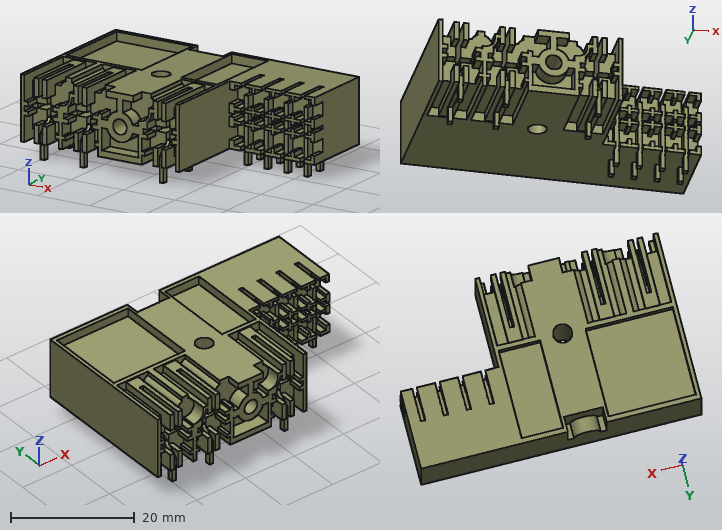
import cadquery as cq

LENGTH = 46.7
DEPTH = 28.3
HEIGHT = 11.4
PIN_DROP = 2.6
MID_Z = HEIGHT / 2

POWER_LENGTH = 30.4
SIGNAL_FRONT = 14.95
WALL = 0.7

POWER_PITCH = 7.6
FIRST_COLUMN = 3.8
COLUMNS = [FIRST_COLUMN + POWER_PITCH * step for step in (0, 1, 3)]
BOSS_X = FIRST_COLUMN + POWER_PITCH * 2
CHAMBER_DEPTH = 2.5
CHANNEL_END = 11.63
CORE_HALF_HEIGHT = 4.1
CORE_TOP = MID_Z + CORE_HALF_HEIGHT
CORE_BOTTOM = MID_Z - CORE_HALF_HEIGHT

RIB_WIDTH = 2.45
RIB_INNER = 2.4
RIB_OUTER = 5.5
BLADE_WIDTH = 0.75
POWER_SLOT_END = 9.15

GROOVE_RADIUS = 1.75
GROOVE_LIP = 0.5
GROOVE_Z = 9.05
RIDGE_HALF_WIDTH = 0.6
GROOVE_XS = [FIRST_COLUMN + POWER_PITCH * (step + 0.5) for step in range(3)]

LEDGE_HALF_GAP = 2.35
LEDGE_HALF_HEIGHT = 1.2
CROSS_HALF_HEIGHT = 0.4
CROSS_HALF_LENGTH = 2.2
LEDGE_GROOVE_HALF = 3.17
KEY_WIDTH = 0.6
KEY_HEIGHT = 0.7

PIN_WIDTH = 1.05
BLADE_FRONT = 0.55
BLADE_BEVEL_BOTTOM = 1.77
BLADE_SHELF_FRONT = 2.8
BLADE_SHELF_BACK = 6.72

BOSS_RADIUS = 2.55
BOSS_HOLE_RADIUS = 1.3
BOSS_HOLE_DEPTH = 5.6
REAR_BOSS_RADIUS = 2.25
REAR_NOTCH_WIDTH = 6.5
REAR_NOTCH_DEPTH = 2.55
CENTER_HALF = 3.5
CENTER_FLOOR = 1.1
CENTER_ARM_HALF = 0.75
CAP_WIDTH = 5.15
CAP_THICKNESS = 1.07
WEB_WIDTH = 1.1
MOUNT_HOLE_Y = 12.3
MOUNT_HOLE_RADIUS = 1.55

POCKET_FRONT = 12.45
POCKET_BACK = 27.45
POCKET_DEPTH = 1.6
LEFT_POCKET_END = 15.2
RIGHT_POCKET_START = 22.8

SIGNAL_PITCH = POWER_PITCH / 2
FIRST_SIGNAL = 32.95
SIGNAL_XS = [FIRST_SIGNAL + SIGNAL_PITCH * step for step in range(4)]
CELL_DEPTH = 2.5
TOP_PLATE_SETBACK = 0.15
CELL_ROWS = [
    (0.7, 4.35, 0.85, 0.55),
    (4.9, 6.6, 0.55, 0.55),
    (7.15, 10.85, 0.55, 0.85),
]
STUB_WIDTH = 0.6
FIRST_STUB_END = 31.35
LAST_STUB_START = 45.95
CONTACT_FRONT = 16.0
CONTACT_BACK = 20.7
CONTACT_TOP = 9.15
CONTACT_WIDTH = 0.75


def box(x0, x1, y0, y1, z0, z1):
    """Box between two opposite corners."""
    return cq.Workplane("XY").box(x1 - x0, y1 - y0, z1 - z0, centered=False).translate((x0, y0, z0))


def rod(x, z, radius, y0, y1):
    """Cylinder along Y."""
    return cq.Workplane("XZ", origin=(x, y0, z)).circle(radius).extrude(y0 - y1)


def front_box(x0, x1, z0, z1):
    """Box that fills the depth of the open front chamber."""
    return box(x0, x1, 0, CHAMBER_DEPTH, z0, z1)


INNER_WALL_X = GROOVE_XS[0]
CHANNELS = [
    (WALL, INNER_WALL_X - WALL / 2),
    (INNER_WALL_X + WALL / 2, BOSS_X - CENTER_HALF - WALL),
    (BOSS_X + CENTER_HALF + WALL, POWER_LENGTH - WALL),
]


def housing():
    """Solid blank: the deep power section beside the shallower signal section."""
    power = box(0, POWER_LENGTH, 0, DEPTH, 0, HEIGHT)
    signal = box(POWER_LENGTH, LENGTH, SIGNAL_FRONT, DEPTH, 0, HEIGHT)
    return power.union(signal)


def channels():
    """Recesses above and below the core, behind the open chamber."""
    upper_ends = [
        (WALL, GROOVE_XS[0] - RIDGE_HALF_WIDTH),
        (GROOVE_XS[0] + RIDGE_HALF_WIDTH, GROOVE_XS[1] - RIDGE_HALF_WIDTH),
        (GROOVE_XS[2] + RIDGE_HALF_WIDTH, POWER_LENGTH - WALL),
    ]
    cut = cq.Workplane("XY")
    for x0, x1 in upper_ends:
        cut = cut.union(box(x0, x1, CHAMBER_DEPTH, CHANNEL_END, CORE_TOP, HEIGHT))
    for x in GROOVE_XS:
        cut = cut.cut(rod(x, GROOVE_Z, GROOVE_RADIUS, CHAMBER_DEPTH, CHANNEL_END))
    for x0, x1 in CHANNELS:
        cut = cut.union(box(x0, x1, CHAMBER_DEPTH, CHANNEL_END, 0, CORE_BOTTOM))
    return cut


def groove_shell(x, left, column_x):
    """Wall with a concave groove in its top, bridged at the top to the rib of the next column."""
    shell_bottom = GROOVE_Z - GROOVE_RADIUS
    rib_left = column_x - RIB_WIDTH / 2
    block = front_box(left, column_x - LEDGE_HALF_GAP, MID_Z, GROOVE_Z)
    lip = rod(x, GROOVE_Z, GROOVE_RADIUS + GROOVE_LIP, 0, CHAMBER_DEPTH)
    lip = lip.intersect(front_box(x, rib_left, shell_bottom, GROOVE_Z))
    bridge = front_box(x + GROOVE_RADIUS, rib_left, GROOVE_Z, CORE_TOP)
    bore = rod(x, GROOVE_Z, GROOVE_RADIUS, 0, CHAMBER_DEPTH)
    return block.union(lip).union(bridge).cut(bore)


def dividers():
    """Front ends of the walls between the columns, with ledges and keys."""
    ledge_bottom = MID_Z - LEDGE_HALF_HEIGHT
    ledge_top = MID_Z + LEDGE_HALF_HEIGHT
    solid = cq.Workplane("XY")
    for column_x, (x0, x1) in zip(COLUMNS, CHANNELS):
        left_ledge = front_box(x0 - WALL, column_x - LEDGE_HALF_GAP, ledge_bottom, ledge_top)
        right_ledge = front_box(column_x + LEDGE_HALF_GAP, x1 + WALL, ledge_bottom, ledge_top)
        solid = solid.union(left_ledge).union(right_ledge)
    inner_left = CHANNELS[0][1]
    inner_right = CHANNELS[1][0]
    solid = solid.union(front_box(inner_left, inner_right, 0, MID_Z))
    for edge, side in ((inner_left, -1), (inner_right, 1), (CHANNELS[1][1], -1), (CHANNELS[2][0], 1)):
        x0, x1 = sorted((edge, edge + side * KEY_WIDTH))
        solid = solid.union(front_box(x0, x1, CORE_BOTTOM, CORE_BOTTOM + KEY_HEIGHT))
    solid = solid.union(groove_shell(GROOVE_XS[0], inner_left, COLUMNS[1]))
    solid = solid.union(groove_shell(GROOVE_XS[2], GROOVE_XS[2], COLUMNS[2]))
    for column_x in COLUMNS:
        groove = front_box(
            column_x - LEDGE_GROOVE_HALF,
            column_x + LEDGE_GROOVE_HALF,
            MID_Z - CROSS_HALF_HEIGHT,
            MID_Z + CROSS_HALF_HEIGHT,
        )
        solid = solid.cut(groove)
    return solid


def center_front():
    """Boss with its T-shaped support above and box-shaped support below."""
    wall_in = CENTER_HALF
    wall_out = CENTER_HALF + WALL
    seat_z = GROOVE_Z - GROOVE_RADIUS
    solid = front_box(BOSS_X - wall_out, BOSS_X + wall_out, 0, CENTER_FLOOR)
    for x0, x1 in ((-wall_out, -wall_in), (wall_in, wall_out)):
        solid = solid.union(front_box(BOSS_X + x0, BOSS_X + x1, 0, seat_z))
    left_seat = front_box(BOSS_X - wall_out, GROOVE_XS[1], seat_z, GROOVE_Z)
    left_seat = left_seat.cut(rod(GROOVE_XS[1], GROOVE_Z, GROOVE_RADIUS, 0, CHAMBER_DEPTH))
    solid = solid.union(left_seat)
    arm_bottom = MID_Z - CENTER_ARM_HALF
    arm_top = MID_Z + CENTER_ARM_HALF
    solid = solid.union(front_box(BOSS_X - wall_out, BOSS_X + wall_out, arm_bottom, arm_top))
    solid = solid.union(rod(BOSS_X, MID_Z, BOSS_RADIUS, 0, CHAMBER_DEPTH))
    solid = solid.union(front_box(BOSS_X - WEB_WIDTH / 2, BOSS_X + WEB_WIDTH / 2, MID_Z, HEIGHT))
    cap_bottom = HEIGHT - CAP_THICKNESS
    return solid.union(front_box(BOSS_X - CAP_WIDTH / 2, BOSS_X + CAP_WIDTH / 2, cap_bottom, HEIGHT))


def guide_ribs():
    """Pairs of ribs that run the full length of each power channel."""
    solid = cq.Workplane("XY")
    for x in COLUMNS:
        x0 = x - RIB_WIDTH / 2
        x1 = x + RIB_WIDTH / 2
        solid = solid.union(box(x0, x1, 0, CHANNEL_END, MID_Z + RIB_INNER, MID_Z + RIB_OUTER))
        solid = solid.union(box(x0, x1, 0, CHANNEL_END, MID_Z - RIB_OUTER, MID_Z - RIB_INNER))
    return solid


def terminal_slot(x):
    """Vertical slot and cross slot that cross in front of one power terminal."""
    slot = box(x - BLADE_WIDTH / 2, x + BLADE_WIDTH / 2, 0, POWER_SLOT_END, 0, HEIGHT)
    cross = box(
        x - CROSS_HALF_LENGTH,
        x + CROSS_HALF_LENGTH,
        0,
        POWER_SLOT_END,
        MID_Z - CROSS_HALF_HEIGHT,
        MID_Z + CROSS_HALF_HEIGHT,
    )
    return slot.union(cross)


def power_terminal(x):
    """Bevelled blade, stepped up into the rear of the cross slot, with a pin at each end."""
    bevel_top = BLADE_BEVEL_BOTTOM + BLADE_SHELF_FRONT - BLADE_FRONT
    blade_top = MID_Z + CROSS_HALF_HEIGHT
    return (
        cq.Workplane("YZ", origin=(x - BLADE_WIDTH / 2, 0, 0))
        .moveTo(BLADE_FRONT, -PIN_DROP)
        .lineTo(BLADE_FRONT, BLADE_BEVEL_BOTTOM)
        .lineTo(BLADE_SHELF_FRONT, bevel_top)
        .lineTo(BLADE_SHELF_BACK, bevel_top)
        .lineTo(BLADE_SHELF_BACK, blade_top)
        .lineTo(POWER_SLOT_END, blade_top)
        .lineTo(POWER_SLOT_END, -PIN_DROP)
        .lineTo(POWER_SLOT_END - PIN_WIDTH, -PIN_DROP)
        .lineTo(POWER_SLOT_END - PIN_WIDTH, 0)
        .lineTo(BLADE_FRONT + PIN_WIDTH, 0)
        .lineTo(BLADE_FRONT + PIN_WIDTH, -PIN_DROP)
        .close()
        .extrude(BLADE_WIDTH)
    )


def rear_notch():
    """Notch in the top rear edge that leaves a half-round boss standing."""
    half = REAR_NOTCH_WIDTH / 2
    y0 = DEPTH - REAR_NOTCH_DEPTH
    notch = box(BOSS_X - half, BOSS_X + half, y0, DEPTH, MID_Z, HEIGHT)
    return notch.cut(rod(BOSS_X, MID_Z, REAR_BOSS_RADIUS, y0, DEPTH))


def top_pockets():
    """Two shallow rectangular pockets in the top face."""
    z0 = HEIGHT - POCKET_DEPTH
    left = box(WALL, LEFT_POCKET_END, POCKET_FRONT, POCKET_BACK, z0, HEIGHT)
    right = box(RIGHT_POCKET_START, POWER_LENGTH - WALL, POCKET_FRONT, POCKET_BACK, z0, HEIGHT)
    return left.union(right)


def signal_cells():
    """Rows of front openings with short divider stubs left on floors and ceilings."""
    y0 = SIGNAL_FRONT
    y1 = SIGNAL_FRONT + CELL_DEPTH
    stubs = [(POWER_LENGTH, FIRST_STUB_END), (LAST_STUB_START, LENGTH)]
    for x in SIGNAL_XS[:-1]:
        middle = x + SIGNAL_PITCH / 2
        stubs.append((middle - STUB_WIDTH / 2, middle + STUB_WIDTH / 2))
    cut = cq.Workplane("XY")
    for z0, z1, floor_stub, ceiling_stub in CELL_ROWS:
        row = box(POWER_LENGTH, LENGTH, y0, y1, z0, z1)
        for x0, x1 in stubs:
            row = row.cut(box(x0, x1, y0, y1, z0, z0 + floor_stub))
            row = row.cut(box(x0, x1, y0, y1, z1 - ceiling_stub, z1))
        cut = cut.union(row)
    _, ceiling_z, _, ceiling_stub = CELL_ROWS[-1]
    setback = box(POWER_LENGTH, LENGTH, y0, y0 + TOP_PLATE_SETBACK, ceiling_z - ceiling_stub, HEIGHT)
    return cut.union(setback)


def signal_slot(x):
    """Vertical slot that receives one signal contact."""
    half = CONTACT_WIDTH / 2
    return box(x - half, x + half, SIGNAL_FRONT, CONTACT_BACK, 0, HEIGHT)


def signal_contact(x):
    """Upright plate with a pin below each end."""
    half = CONTACT_WIDTH / 2
    plate = box(x - half, x + half, CONTACT_FRONT, CONTACT_BACK, 0, CONTACT_TOP)
    for y0 in (CONTACT_FRONT, CONTACT_BACK - PIN_WIDTH):
        plate = plate.union(box(x - half, x + half, y0, y0 + PIN_WIDTH, -PIN_DROP, 0))
    return plate


result = housing()
result = result.cut(front_box(WALL, POWER_LENGTH - WALL, 0, HEIGHT))
result = result.cut(channels())
result = result.union(center_front()).union(dividers()).union(guide_ribs())
result = result.cut(rod(BOSS_X, MID_Z, BOSS_HOLE_RADIUS, 0, BOSS_HOLE_DEPTH))
result = result.cut(rear_notch()).cut(top_pockets())
mount_hole = cq.Workplane("XY").center(BOSS_X, MOUNT_HOLE_Y).circle(MOUNT_HOLE_RADIUS).extrude(HEIGHT)
result = result.cut(mount_hole)
for column_x in COLUMNS:
    result = result.cut(terminal_slot(column_x)).union(power_terminal(column_x))
result = result.cut(signal_cells())
for contact_x in SIGNAL_XS:
    result = result.cut(signal_slot(contact_x)).union(signal_contact(contact_x))